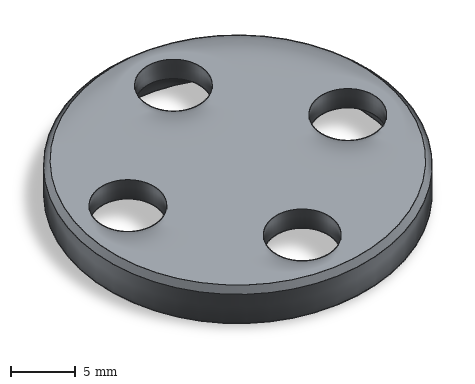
import cadquery as cq

disc_diameter = 30.0
disc_thickness = 4.0
edge_chamfer = 0.5

recess_diameter = 28.0
recess_depth = disc_thickness / 2

hole_diameter = 6.0
hole_reach = 10.0
hole_skew = 0.18

hole_centres = []
for side in (1, -1):
    hole_centres.append((side * hole_reach, -side * hole_skew))
    hole_centres.append((-side * hole_skew, side * hole_reach))

disc = (
    cq.Workplane("XY")
    .circle(disc_diameter / 2)
    .extrude(disc_thickness)
    .edges()
    .chamfer(edge_chamfer)
)

recess = cq.Workplane("XY").circle(recess_diameter / 2).extrude(recess_depth)

cup = disc.cut(recess)

result = cup.faces(">Z").workplane(origin=(0, 0, 0)).pushPoints(hole_centres).hole(hole_diameter)